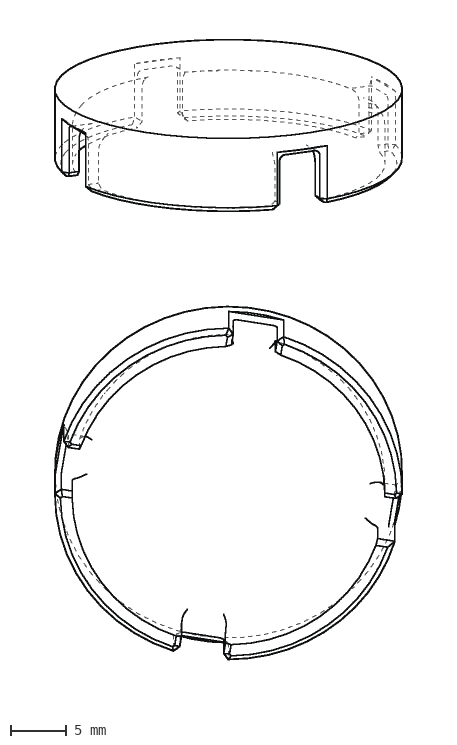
import cadquery as cq
import math

outer_radius = 15.65
height = 7.0
bevel = 0.5
wall = 1.55
top_thickness = 2.0
slot_width = 4.0
corner_radius = 0.5
cavity_fillet = 1.5
mouth_corner_radius = 0.015
slot_angles = (45, 135, 225, 315)
sharp_edge_slot_angle = 135

inner_radius = outer_radius - wall
ceiling = height - top_thickness
half_slot = slot_width / 2
slot_start = inner_radius / 2
mouth_end = math.sqrt(outer_radius**2 - (half_slot + bevel) ** 2)
mouth_start = mouth_end - bevel
tolerance = 0.003


def make_shell():
    """Disc with a round cavity whose ceiling corner is filleted."""
    disc = cq.Workplane("XY").circle(outer_radius).extrude(height)
    cavity = cq.Workplane("XY").circle(inner_radius).extrude(ceiling)
    return disc.cut(cavity.faces(">Z").edges().fillet(cavity_fillet))


def slot_profile(distance, clockwise_side, counterclockwise_side, top, radius):
    """Closed slot section across +X, with rounded upper corners."""
    inset = radius * (1 - math.sqrt(0.5))
    return (
        cq.Workplane("YZ", origin=(distance, 0, 0))
        .moveTo(clockwise_side, 0)
        .lineTo(clockwise_side, top - radius)
        .threePointArc((clockwise_side + inset, top - inset), (clockwise_side + radius, top))
        .lineTo(counterclockwise_side - radius, top)
        .threePointArc(
            (counterclockwise_side - inset, top - inset), (counterclockwise_side, top - radius)
        )
        .lineTo(counterclockwise_side, 0)
        .close()
    )


def make_slot(angle):
    """Radial slot with rounded upper corners and a mouth flaring to sharp corners."""
    side_flare = bevel
    if angle == sharp_edge_slot_angle:
        side_flare = 0
    narrow = (-half_slot, half_slot, ceiling, corner_radius)
    wide = (-half_slot - bevel, half_slot + side_flare, ceiling + bevel, mouth_corner_radius)

    passage = slot_profile(slot_start, *narrow).extrude(outer_radius - slot_start)
    inner_wire = slot_profile(mouth_start, *narrow).val()
    outer_wire = slot_profile(mouth_end, *wide).val()
    flare = cq.Workplane(cq.Solid.makeLoft([inner_wire, outer_wire], True))
    exit_cut = slot_profile(mouth_end, *wide).extrude(outer_radius - mouth_end)
    slot = passage.union(flare).union(exit_cut)
    return slot.rotate((0, 0, 0), (0, 0, 1), angle)


def is_bevelled(edge):
    """Pick every bottom edge except the rim of the cavity."""
    middle = edge.positionAt(0.5)
    radius = math.hypot(middle.x, middle.y)
    return middle.z < tolerance and radius > inner_radius + tolerance


body = make_shell()
for angle in slot_angles:
    body = body.cut(make_slot(angle))

bottom_edges = [edge for edge in body.edges().vals() if is_bevelled(edge)]
result = body.newObject(bottom_edges).chamfer(bevel)